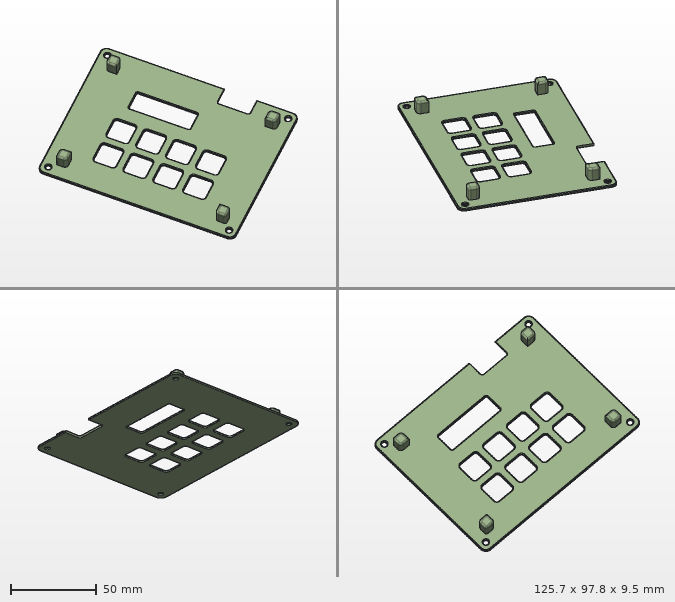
import cadquery as cq

LENGTH = 125.7
WIDTH = 97.8
THICKNESS = 1.5
CORNER_RADIUS = 4.0

BEVEL = 0.5
BEVEL_ANGLE = 45

HOLE_DIAMETER = 3.4
HOLE_EDGE_OFFSET = 5.0

NOTCH_WIDTH = 21.0
NOTCH_DEPTH = 11.3
NOTCH_CENTER_X = 25.3
NOTCH_RADIUS = 1.5

WINDOW_LENGTH = 39.2
WINDOW_WIDTH = 12.6
WINDOW_RADIUS = 1.0
WINDOW_CENTER = (-11.8, 20.1)

KEY_SIZE = 14.1
KEY_RADIUS = 2.0
KEY_PITCH = 19.1
KEY_COLUMNS = 4
KEY_ROWS = 2
KEY_GRID_CENTER = (0.0, -12.7)

POST_SIZE = 7.0
POST_TOP = 9.5
POST_CENTER = (50.9, 37.0)
POST_OUTER_RADIUS = 1.3
POST_SIDE_RADIUS = 2.3
POST_TOP_RADIUS = 1.3


def rounded_rectangle(length, width, radius):
    """Sketch of a rectangle with rounded corners."""
    return cq.Sketch().rect(length, width).vertices().fillet(radius)


def beveled_slab(outline, taper):
    """Slab of plate thickness whose top part narrows (taper > 0) or widens (taper < 0)."""
    straight_height = THICKNESS - BEVEL
    lower = cq.Workplane("XY").placeSketch(outline).extrude(straight_height)
    upper = (
        cq.Workplane("XY", origin=(0, 0, straight_height))
        .placeSketch(outline)
        .extrude(BEVEL, taper=taper)
    )
    return lower.union(upper)


def cut_opening(plate, outline, centers):
    """Cut the same opening, flared at the top, through the plate at each center."""
    cutter = beveled_slab(outline, -BEVEL_ANGLE)
    for x, y in centers:
        plate = plate.cut(cutter.translate((x, y, 0)))
    return plate


def cut_notch(plate):
    """Cut the notch straight through the rear edge, leaving its edges sharp."""
    outline = rounded_rectangle(NOTCH_WIDTH, 2 * NOTCH_DEPTH, NOTCH_RADIUS)
    cutter = cq.Workplane("XY").placeSketch(outline).extrude(THICKNESS)
    return plate.cut(cutter.translate((NOTCH_CENTER_X, WIDTH / 2, 0)))


def make_post():
    """Post for the +X +Y corner, with its inner vertical edge left sharp."""
    post = cq.Workplane("XY").box(POST_SIZE, POST_SIZE, POST_TOP, centered=(True, True, False))
    post = post.edges("|Z").edges(">(1, 1, 0)").fillet(POST_OUTER_RADIUS)
    post = post.edges("|Z").edges(">(1, -1, 0) or <(1, -1, 0)").fillet(POST_SIDE_RADIUS)
    post = post.faces(">Z").edges().fillet(POST_TOP_RADIUS)
    return post.translate((*POST_CENTER, 0))


def corner_points(x, y):
    """The four points at (+-x, +-y)."""
    return [(sign_x * x, sign_y * y) for sign_x in (1, -1) for sign_y in (1, -1)]


def key_centers():
    """Centers of the key openings, column by column."""
    grid_x, grid_y = KEY_GRID_CENTER
    return [
        (
            grid_x + (column - (KEY_COLUMNS - 1) / 2) * KEY_PITCH,
            grid_y + (row - (KEY_ROWS - 1) / 2) * KEY_PITCH,
        )
        for column in range(KEY_COLUMNS)
        for row in range(KEY_ROWS)
    ]


plate_outline = rounded_rectangle(LENGTH, WIDTH, CORNER_RADIUS)
plate = beveled_slab(plate_outline, BEVEL_ANGLE)
hole_centers = corner_points(LENGTH / 2 - HOLE_EDGE_OFFSET, WIDTH / 2 - HOLE_EDGE_OFFSET)
plate = cut_opening(plate, cq.Sketch().circle(HOLE_DIAMETER / 2), hole_centers)
window_outline = rounded_rectangle(WINDOW_LENGTH, WINDOW_WIDTH, WINDOW_RADIUS)
plate = cut_opening(plate, window_outline, [WINDOW_CENTER])
key_outline = rounded_rectangle(KEY_SIZE, KEY_SIZE, KEY_RADIUS)
plate = cut_opening(plate, key_outline, key_centers())
plate = cut_notch(plate)

rear_right_post = make_post()
right_posts = rear_right_post.union(rear_right_post.mirror("XZ"))
posts = right_posts.union(right_posts.mirror("YZ"))

result = plate.union(posts)